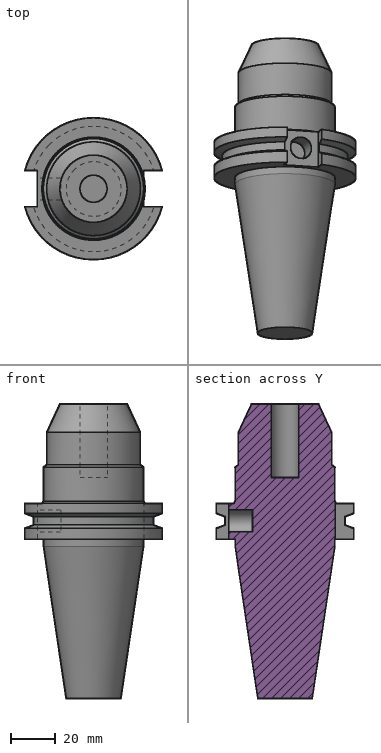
import cadquery as cq

height = 131.8

tip_radius = 15.0
nose_radius = 21.0
body_radius = 22.4
nose_cone_height = 12.8
nose_base_z = height - 27.1
shoulder_height = 1.2
root_chamfer_width = 0.7
root_chamfer_height = 1.0

flange_radius = 31.8
flange_height = 16.1
flange_top_z = height - 44.5
flange_bottom_z = flange_top_z - flange_height
groove_floor_radius = 28.0
groove_center_z = height - 52.3
groove_floor_width = 3.7
groove_mouth_width = 6.6

collar_radius = 22.4
collar_height = 3.0
taper_end_radius = 12.3

slot_width = 16.1
left_slot_floor = 25.2
right_slot_floor = 22.5

bore_radius = 6.0
bore_depth = 33.0
side_hole_radius = 4.9
side_hole_depth = 10.5


def make_body():
    """Revolve the half outline (radius, Z) about the Z axis."""
    outline = [
        (0, 0),
        (taper_end_radius, 0),
        (collar_radius, flange_bottom_z - collar_height),
        (collar_radius, flange_bottom_z),
        (flange_radius, flange_bottom_z),
        (flange_radius, groove_center_z - groove_mouth_width / 2),
        (groove_floor_radius, groove_center_z - groove_floor_width / 2),
        (groove_floor_radius, groove_center_z + groove_floor_width / 2),
        (flange_radius, groove_center_z + groove_mouth_width / 2),
        (flange_radius, flange_top_z),
        (body_radius + root_chamfer_width, flange_top_z),
        (body_radius, flange_top_z + root_chamfer_height),
        (body_radius, nose_base_z - shoulder_height),
        (nose_radius, nose_base_z),
        (nose_radius, height - nose_cone_height),
        (tip_radius, height),
        (0, height),
    ]
    return cq.Workplane("XZ").polyline(outline).close().revolve(360, (0, 0), (0, 1))


def make_drive_slot(side, floor_distance):
    """Cutter for a slot across the flange; side is -1 for -X and +1 for +X."""
    cutter_depth = flange_radius - floor_distance
    return cq.Workplane("XY").box(cutter_depth, slot_width, flange_height).translate(
        (side * (floor_distance + cutter_depth / 2), 0, flange_bottom_z + flange_height / 2)
    )


def make_bore():
    """Cutter for the tool bore in the tip."""
    return cq.Workplane("XY", origin=(0, 0, height)).circle(bore_radius).extrude(-bore_depth)


def make_side_hole():
    """Cutter for the round hole in the floor of the -X slot."""
    return (
        cq.Workplane("YZ", origin=(-left_slot_floor, 0, groove_center_z))
        .circle(side_hole_radius)
        .extrude(side_hole_depth)
    )


result = (
    make_body()
    .cut(make_drive_slot(-1, left_slot_floor))
    .cut(make_drive_slot(1, right_slot_floor))
    .cut(make_bore())
    .cut(make_side_hole())
)